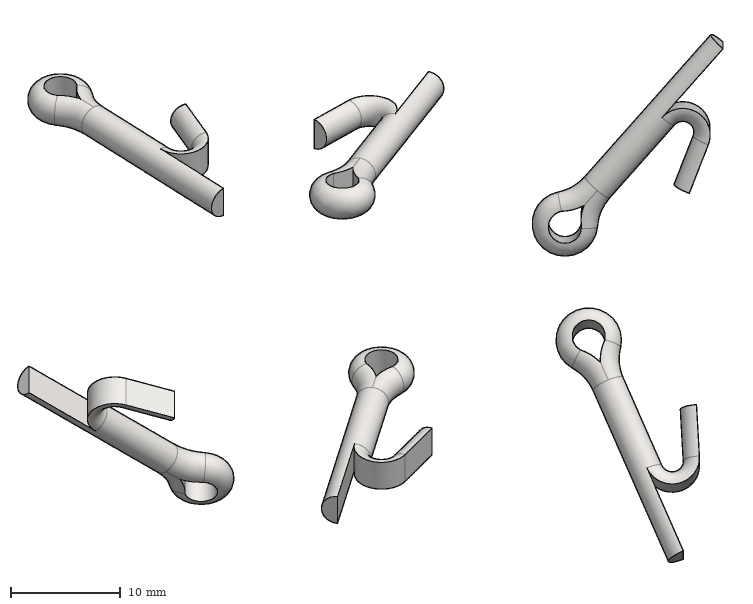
import cadquery as cq
import math

wire_radius = 1.5
eye_radius = 1.5
neck_end = 4.5
crotch_tip = 2.68
crotch_radius = 4.5
long_leg_end = 22.0
bend_start = 13.5
bend_radius = 2.5
bend_angle = 160.0
tail_length = 4.85

neck_radius = (neck_end**2 - eye_radius**2) / (2 * eye_radius)
eye_half_angle = math.degrees(math.atan2(neck_radius, neck_end))
neck_angle = 90 - eye_half_angle


def half_round(workplane):
    """Half disc on the positive local X side, its flat face along local Y."""
    return (
        workplane.moveTo(0, -wire_radius)
        .threePointArc((wire_radius, 0), (0, wire_radius))
        .close()
    )


def section(point, outward):
    """Half-round section at an XY point with its round side facing outward."""
    plane = cq.Plane(
        origin=(*point, 0),
        xDir=(*outward, 0),
        normal=(outward[1], -outward[0], 0),
    )
    return half_round(cq.Workplane(plane))


def turned(point, outward, centre, angle):
    """Section swept around a vertical axis; positive angles turn counterclockwise."""
    turn = section(point, outward)
    local_centre = turn.plane.toLocalCoords(cq.Vector(*centre, 0))
    axis_end = (local_centre.x, local_centre.y + math.copysign(1, angle))
    return turn.revolve(abs(angle), (local_centre.x, local_centre.y), axis_end)


def eye_start():
    """Point on the eye's inside where the upper neck joins."""
    angle = math.radians(eye_half_angle)
    return (eye_radius * math.cos(angle), eye_radius * math.sin(angle))


def make_eye():
    start = eye_start()
    outward = (start[0] / eye_radius, start[1] / eye_radius)
    return turned(start, outward, (0, 0), 360 - 2 * eye_half_angle)


def make_upper_neck():
    """Round wire curving from eye to leg, trimmed by the crotch wall and the parting plane."""
    wire = (
        cq.Workplane("YZ", origin=(neck_end, 0, 0))
        .circle(wire_radius)
        .revolve(neck_angle, (neck_radius, 0.25), (neck_radius, -0.25))
    )
    outline = (
        cq.Workplane("XY", origin=(0, 0, -wire_radius))
        .moveTo(*eye_start())
        .radiusArc((crotch_tip, 0), -crotch_radius)
        .lineTo(neck_end, 0)
        .lineTo(neck_end, neck_radius)
        .close()
        .extrude(2 * wire_radius)
    )
    return wire.intersect(outline)


def make_paired_legs():
    """Stretch where both legs lie flat to flat and form a full round."""
    round_end = cq.Workplane("YZ", origin=(neck_end, 0, 0)).circle(wire_radius)
    return round_end.extrude(bend_start - neck_end)


def make_long_leg_tip():
    """Half-round end of the long leg, past the short leg's hook."""
    plane = cq.Plane(origin=(bend_start, 0, 0), xDir=(0, -1, 0), normal=(1, 0, 0))
    return half_round(cq.Workplane(plane)).extrude(long_leg_end - bend_start)


def make_hook():
    bend_centre = (bend_start, bend_radius)
    bend = turned((bend_start, 0), (0, 1), bend_centre, bend_angle)
    outward = (-math.sin(math.radians(bend_angle)), math.cos(math.radians(bend_angle)))
    tail_start = (
        bend_centre[0] - bend_radius * outward[0],
        bend_centre[1] - bend_radius * outward[1],
    )
    tail = section(tail_start, outward).extrude(tail_length)
    return bend.union(tail)


upper_neck = make_upper_neck()
lower_neck = upper_neck.mirror("XZ")

result = (
    make_paired_legs()
    .union(make_long_leg_tip())
    .union(make_hook())
    .union(upper_neck)
    .union(lower_neck)
    .union(make_eye())
)